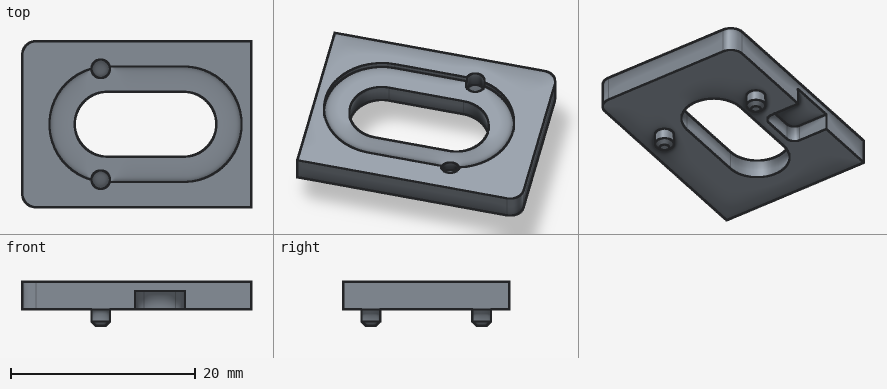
import cadquery as cq

plate_length = 24.8
plate_width = 18.0
plate_thickness = 3.0
corner_radius = 1.5

slot_left = 5.7
slot_length = 15.3
slot_width = 7.0
slot_center_x = slot_left + slot_length / 2
pocket_margin = 2.75
pocket_depth = 0.7

pin_x = 8.5
pin_spacing = 12.0
pin_diameter = 2.05
pin_length = 1.8
pin_chamfer = 0.5
socket_diameter = 2.0
socket_depth = 2.0

notch_left = 12.2
notch_width = 5.4
notch_height = 2.0
notch_depth = 4.5
notch_corner_radius = 1.0


def make_plate():
    """Flat plate with its two left-hand corners rounded."""
    plate = cq.Workplane("XY").box(
        plate_length, plate_width, plate_thickness, centered=(False, True, False)
    )
    return plate.edges("|Z and <X").fillet(corner_radius)


def slot_prism(margin, floor_z):
    """Round-ended cutter, the slot outline grown by margin, from floor_z to the plate top."""
    return (
        cq.Workplane("XY", origin=(slot_center_x, 0, floor_z))
        .slot2D(slot_length + 2 * margin, slot_width + 2 * margin)
        .extrude(plate_thickness - floor_z)
    )


def make_notch():
    """Cutter for the notch, rounded at its two inner corners."""
    notch = cq.Workplane("XY", origin=(notch_left, -plate_width / 2, 0)).box(
        notch_width, notch_depth, notch_height, centered=False
    )
    return notch.edges("|Z and >Y").fillet(notch_corner_radius)


def make_pin(y):
    """Pin hanging below the plate, chamfered at its tip."""
    pin = cq.Workplane("XY", origin=(pin_x, y, 0)).circle(pin_diameter / 2).extrude(-pin_length)
    return pin.faces("<Z").chamfer(pin_chamfer)


def make_socket(y):
    """Cutter for the blind socket in line with a pin."""
    top = cq.Workplane("XY", origin=(pin_x, y, plate_thickness))
    return top.circle(socket_diameter / 2).extrude(-socket_depth)


result = make_plate()
result = result.cut(slot_prism(0, 0))
result = result.cut(slot_prism(pocket_margin, plate_thickness - pocket_depth))
result = result.cut(make_notch())
for pin_y in (-pin_spacing / 2, pin_spacing / 2):
    result = result.union(make_pin(pin_y))
    result = result.cut(make_socket(pin_y))